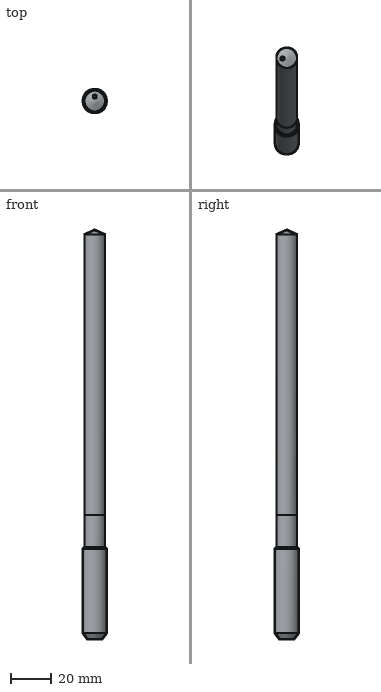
import cadquery as cq

total_length = 204.0
shank_diameter = 12.0
rod_diameter = 10.5
foot_diameter = 7.3
foot_chamfer_height = 3.0
shoulder_height = 45.0
joint_height = 61.8
tip_height = 2.2
tip_hole_diameter = 1.8
tip_hole_offset = 2.2

shank_radius = shank_diameter / 2
rod_radius = rod_diameter / 2
foot_radius = foot_diameter / 2
shoulder_rise = shank_radius - rod_radius
rod_top = total_length - tip_height


def revolve_profile(points):
    """Turn a closed (radius, height) outline about the Z axis."""
    return cq.Workplane("XZ").polyline(points).close().revolve(360, (0, 0), (0, 1))


def make_shank():
    """Thick grip with a chamfered foot and a neck as wide as the rod."""
    return revolve_profile([
        (0, 0),
        (foot_radius, 0),
        (shank_radius, foot_chamfer_height),
        (shank_radius, shoulder_height),
        (rod_radius, shoulder_height + shoulder_rise),
        (rod_radius, joint_height),
        (0, joint_height),
    ])


def make_rod():
    """Long rod with a conical tip and an off-centre hole along its full length."""
    rod = revolve_profile([
        (0, joint_height),
        (rod_radius, joint_height),
        (rod_radius, rod_top),
        (0, total_length),
    ])
    hole = (
        cq.Workplane("XY", origin=(0, tip_hole_offset, joint_height))
        .circle(tip_hole_diameter / 2)
        .extrude(total_length - joint_height)
    )
    return rod.cut(hole)


shank = make_shank()
rod = make_rod()

result = cq.Compound.makeCompound([shank.val(), rod.val()])